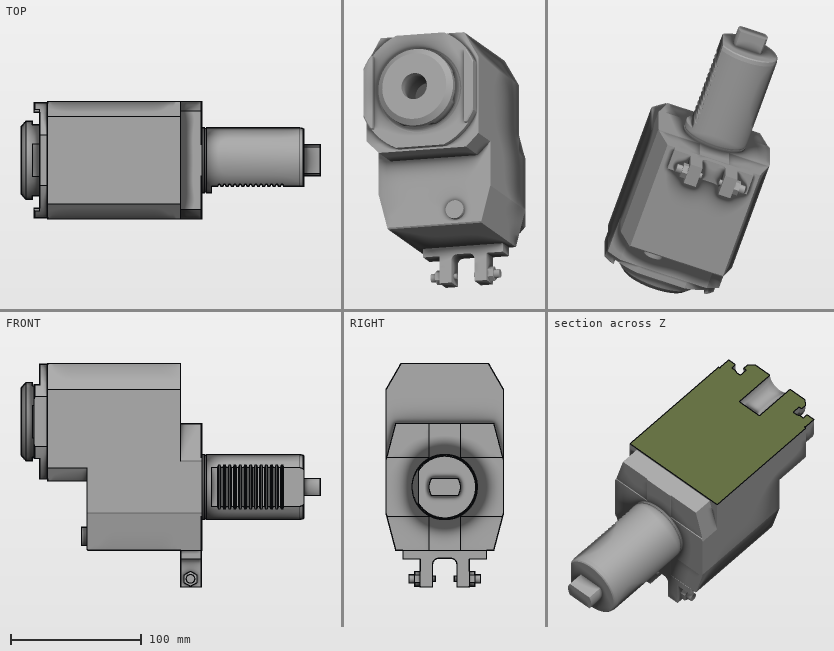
import cadquery as cq
import math


body_half_width = 45.0
body_top_z = 94.5
body_front_x = -118.1
body_back_x = -16.5
head_bottom_z = 4.5
head_top_half_width = 33.5
head_top_chamfer_height = 20.0
head_bottom_chamfer = 10.0
lower_front_x = -88.2
flange_half_height = 48.5
flange_end_half_width = 37.5
flange_side_half_height = 20.0
lower_edge_chamfer = 1.0

contact_relief = 0.7
cross_half_width = 12.0
cross_half_height = 22.5

spindle_z = 50.0
nose_front_x = -138.5
nose_cone_end_x = -134.7
nose_head_back_x = -129.8
nose_radius = 30.0
nose_face_radius = 25.7
nose_flat_distance = 27.3
bore_radius = 10.2
bore_depth = 35.0
plate_back_x = -118.5
plate_front_x = -124.3
plate_radius = 48.0
plate_half_size = 44.0
gap_inset = 0.5
pad_front_x = -128.6
pad_inner_y = 36.6
pad_half_height = 28.3
pad_edge_chamfer = 0.8
recess_mouth_radius = 33.3
recess_radius = 32.3
recess_inner_radius = 31.3
recess_step_depth = 0.5
recess_depth = 1.0

shank_radius = 25.0
shank_length = 78.0
end_taper_start_x = 74.3
end_taper_radius = 24.4
end_chamfer = 0.8
groove_start_x = 1.9
groove_end_x = 3.2
groove_depth = 0.6
rack_flat_y = -20.0
rack_flat_start_x = 7.2
tooth_pitch = 4.0
tooth_space_count = 13
first_space_x = 13.1
tooth_depth = 1.6
space_top_width = 2.5
space_floor_width = 1.0
tang_end_x = 90.5
tang_radius = 12.0
tang_half_thickness = 6.6

plug_front_x = -92.4
plug_radius = 7.1
plug_y = -17.5
plug_z = -37.7

bracket_back_x = -0.5
bracket_bottom_z = -76.5
bracket_bar_half_width = 32.0
bracket_bar_bottom_z = -55.2
leg_outer_y = 18.9
leg_inner_y = 9.2
arch_top_z = -54.6
arch_radius = 4.5
screw_x = -8.9
screw_z = -70.2
screw_radius = 3.3
screw_end_y = 27.5
nut_across_flats = 10.0
nut_outer_y = 23.1
tip_radius = 2.2
tip_end_y = 7.1


def box(x_range, y_range, z_range):
    """Box between pairs of limits along X, Y and Z."""
    (x0, x1), (y0, y1), (z0, z1) = x_range, y_range, z_range
    return cq.Workplane("XY").box(x1 - x0, y1 - y0, z1 - z0, centered=False).translate((x0, y0, z0))


def extrude_along_x(outline, x0, x1):
    """Prism from x0 to x1 with a closed outline of (y, z) points."""
    return cq.Workplane("YZ", origin=(x0, 0, 0)).polyline(outline).close().extrude(x1 - x0)


def cylinder_along_x(radius, x0, x1, y=0.0, z=0.0):
    return cq.Workplane("YZ", origin=(x0, y, z)).circle(radius).extrude(x1 - x0)


def cylinder_along_y(radius, y0, y1, x, z):
    return cq.Workplane("XZ", origin=(x, y0, z)).circle(radius).extrude(y0 - y1)


def turned(profile, axis_z=0.0):
    """Solid of revolution about an axis parallel to X from (x, radius) points."""
    return (
        cq.Workplane("XZ", origin=(0, 0, axis_z))
        .polyline(profile)
        .close()
        .revolve(360, (0, 0, 0), (1, 0, 0))
    )


def make_head():
    shoulder_z = body_top_z - head_top_chamfer_height
    bottom_half_width = body_half_width - head_bottom_chamfer
    right_side = [
        (bottom_half_width, head_bottom_z),
        (body_half_width, head_bottom_z + head_bottom_chamfer),
        (body_half_width, shoulder_z),
        (head_top_half_width, body_top_z),
    ]
    left_side = [(-y, z) for y, z in reversed(right_side)]
    front = extrude_along_x(right_side + left_side, body_front_x, body_back_x)

    upper_outline = [
        (-body_half_width, 0),
        (body_half_width, 0),
        (body_half_width, shoulder_z),
        (head_top_half_width, body_top_z),
        (-head_top_half_width, body_top_z),
        (-body_half_width, shoulder_z),
    ]
    return front.union(extrude_along_x(upper_outline, lower_front_x, body_back_x))


def make_lower_block_and_flange():
    lower_right = [
        (flange_end_half_width, -flange_half_height),
        (body_half_width, -flange_side_half_height),
    ]
    upper_right = [(y, -z) for y, z in reversed(lower_right)]
    right_side = lower_right + upper_right
    left_side = [(-y, z) for y, z in reversed(right_side)]
    flange = extrude_along_x(right_side + left_side, body_back_x, 0)

    lower_left = [(-y, z) for y, z in reversed(lower_right)]
    block_outline = lower_right + [(body_half_width, 0), (-body_half_width, 0)] + lower_left
    block = extrude_along_x(block_outline, lower_front_x, body_back_x)
    block = block.faces("<X").edges("<Z").chamfer(lower_edge_chamfer)

    lower = block.union(flange)
    for y_sign in (-1, 1):
        for z_sign in (-1, 1):
            y_limits = sorted((y_sign * cross_half_width, y_sign * body_half_width))
            z_limits = sorted((z_sign * cross_half_height, z_sign * flange_half_height))
            lower = lower.cut(box((-contact_relief, 0), y_limits, z_limits))
    return lower


def make_cover_plate():
    """Round plate with four flats, two raised side pads and a recess around the spindle."""
    square = box(
        (pad_front_x, plate_back_x),
        (-plate_half_size, plate_half_size),
        (spindle_z - plate_half_size, spindle_z + plate_half_size),
    )
    blank = turned(
        [
            (plate_back_x, 0),
            (plate_back_x, plate_radius),
            (pad_front_x + pad_edge_chamfer, plate_radius),
            (pad_front_x, plate_radius - pad_edge_chamfer),
            (pad_front_x, 0),
        ],
        spindle_z,
    ).intersect(square)
    pad_z_limits = (spindle_z - pad_half_height, spindle_z + pad_half_height)
    keep = box(
        (plate_front_x, plate_back_x),
        (-plate_half_size, plate_half_size),
        (spindle_z - plate_half_size, spindle_z + plate_half_size),
    )
    for y_limits in ((-plate_half_size, -pad_inner_y), (pad_inner_y, plate_half_size)):
        keep = keep.union(box((pad_front_x, plate_back_x), y_limits, pad_z_limits))
    plate = blank.intersect(keep)

    recess = turned(
        [
            (plate_front_x, 0),
            (plate_front_x, recess_mouth_radius),
            (plate_front_x + recess_step_depth, recess_radius),
            (plate_front_x + recess_step_depth, recess_inner_radius),
            (plate_front_x + recess_depth, recess_inner_radius),
            (plate_front_x + recess_depth, 0),
        ],
        spindle_z,
    )

    spacer_half_size = plate_half_size - gap_inset
    spacer = cylinder_along_x(plate_radius - gap_inset, plate_back_x, body_front_x, z=spindle_z).intersect(
        box(
            (plate_back_x, body_front_x),
            (-spacer_half_size, spacer_half_size),
            (spindle_z - spacer_half_size, spindle_z + spacer_half_size),
        )
    )
    return plate.cut(recess).union(spacer)


def make_spindle_nose():
    """Bevelled round nose with four wrench flats behind its head."""
    neck_end_x = plate_front_x + recess_depth
    nose = turned(
        [
            (nose_front_x, 0),
            (nose_front_x, nose_face_radius),
            (nose_cone_end_x, nose_radius),
            (neck_end_x, nose_radius),
            (neck_end_x, 0),
        ],
        spindle_z,
    )
    flat_cut = box(
        (nose_head_back_x, neck_end_x),
        (-nose_radius, nose_radius),
        (nose_flat_distance, nose_radius),
    )
    for i in range(4):
        nose = nose.cut(flat_cut.rotate((0, 0, 0), (1, 0, 0), 90 * i).translate((0, 0, spindle_z)))
    return nose


def make_shank():
    shank = turned(
        [
            (0, 0),
            (0, shank_radius),
            (groove_start_x, shank_radius),
            (groove_start_x, shank_radius - groove_depth),
            (groove_end_x, shank_radius - groove_depth),
            (groove_end_x, shank_radius),
            (end_taper_start_x, shank_radius),
            (shank_length - end_chamfer, end_taper_radius),
            (shank_length, end_taper_radius - end_chamfer),
            (shank_length, 0),
        ]
    )
    z_limits = (-shank_radius, shank_radius)
    shank = shank.cut(box((rack_flat_start_x, shank_length), (-shank_radius, rack_flat_y), z_limits))

    tooth_space = (
        cq.Workplane("XY", origin=(0, 0, -shank_radius))
        .polyline(
            [
                (-space_top_width / 2, rack_flat_y),
                (-space_floor_width / 2, rack_flat_y + tooth_depth),
                (space_floor_width / 2, rack_flat_y + tooth_depth),
                (space_top_width / 2, rack_flat_y),
            ]
        )
        .close()
        .extrude(2 * shank_radius)
    )
    for i in range(tooth_space_count):
        shank = shank.cut(tooth_space.translate((first_space_x + i * tooth_pitch, 0, 0)))

    tang = cylinder_along_x(tang_radius, shank_length, tang_end_x).intersect(
        box(
            (shank_length, tang_end_x),
            (-tang_radius, tang_radius),
            (-tang_half_thickness, tang_half_thickness),
        )
    )
    return shank.union(tang)


def make_bracket():
    x_limits = (body_back_x, bracket_back_x)
    bar = box(
        x_limits,
        (-bracket_bar_half_width, bracket_bar_half_width),
        (bracket_bar_bottom_z, -flange_half_height),
    )
    legs = box(x_limits, (-leg_outer_y, leg_outer_y), (bracket_bottom_z, -flange_half_height))
    arch = box(x_limits, (-leg_inner_y, leg_inner_y), (bracket_bottom_z, arch_top_z))
    arch = arch.edges("|X and >Z").fillet(arch_radius)
    return bar.union(legs).cut(arch)


def make_screw(side):
    """Screw with its lock nut on the +Y (side = 1) or -Y (side = -1) bracket leg."""
    nut_corner_radius = nut_across_flats / math.sqrt(3)
    corners = []
    for i in range(6):
        angle = math.radians(90 + 60 * i)
        corners.append((nut_corner_radius * math.cos(angle), nut_corner_radius * math.sin(angle)))
    nut = (
        cq.Workplane("XZ", origin=(screw_x, side * leg_outer_y, screw_z))
        .polyline(corners)
        .close()
        .extrude(-side * (nut_outer_y - leg_outer_y))
    )
    screw = cylinder_along_y(screw_radius, side * leg_outer_y, side * screw_end_y, screw_x, screw_z)
    tip = cylinder_along_y(tip_radius, side * tip_end_y, side * leg_outer_y, screw_x, screw_z)
    return nut.union(screw).union(tip)


holder = make_head().union(make_lower_block_and_flange())
holder = holder.union(make_cover_plate()).union(make_spindle_nose())
holder = holder.cut(cylinder_along_x(bore_radius, nose_front_x, nose_front_x + bore_depth, z=spindle_z))
holder = holder.union(make_shank())
holder = holder.union(cylinder_along_x(plug_radius, plug_front_x, lower_front_x, plug_y, plug_z))
holder = holder.union(make_bracket())
for side in (-1, 1):
    holder = holder.union(make_screw(side))
result = holder